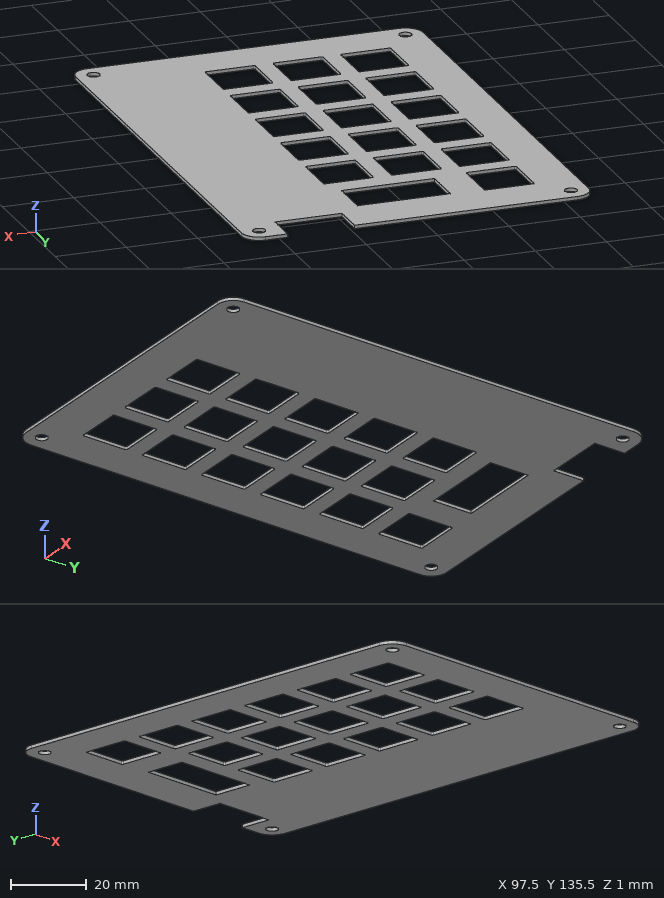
import cadquery as cq

plate_width = 97.5
plate_length = 135.5
plate_thickness = 1.0
corner_radius = 5.0

mount_hole_diameter = 3.4
mount_hole_inset = corner_radius

key_size = 14.0
key_corner_radius = 0.4
key_columns = 3
key_rows = 5
outer_column_spacing = 38.1
key_pitch = outer_column_spacing / (key_columns - 1)
first_key_x = 19.2
first_key_y = 20.2

window_width = 26.0
window_height = 12.0
window_left_offset = 0.1
window_x = plate_width / 2 - window_left_offset
window_top_inset = 19.8
window_y = plate_length - window_top_inset

notch_width = 18.7
notch_depth = 9.6
notch_right_inset = 11.2
notch_x = plate_width - notch_right_inset - notch_width / 2
notch_y = plate_length - notch_depth / 2


def make_plate():
    """Rounded rectangular plate resting on the XY plane."""
    plate = cq.Workplane("XY").box(plate_width, plate_length, plate_thickness, centered=False)
    return plate.edges("|Z").fillet(corner_radius)


def rectangular_cutter(center_x, center_y, width, height):
    """Block that cuts a rectangular opening through the plate."""
    return cq.Workplane("XY").center(center_x, center_y).rect(width, height).extrude(plate_thickness)


def key_cutter(column, row):
    """Block with rounded corners that cuts one key opening."""
    center_x = first_key_x + column * key_pitch
    center_y = first_key_y + row * key_pitch
    cutter = rectangular_cutter(center_x, center_y, key_size, key_size)
    return cutter.edges("|Z").fillet(key_corner_radius)


plate = make_plate()

plate = (
    plate.faces(">Z")
    .workplane(origin=(plate_width / 2, plate_length / 2, 0))
    .rect(plate_width - 2 * mount_hole_inset, plate_length - 2 * mount_hole_inset, forConstruction=True)
    .vertices()
    .hole(mount_hole_diameter)
)

key_positions = [(column, row) for column in range(key_columns) for row in range(key_rows)]
key_positions.append((0, key_rows))
for column, row in key_positions:
    plate = plate.cut(key_cutter(column, row))

plate = plate.cut(rectangular_cutter(window_x, window_y, window_width, window_height))

plate = plate.cut(rectangular_cutter(notch_x, notch_y, notch_width, notch_depth))

result = plate